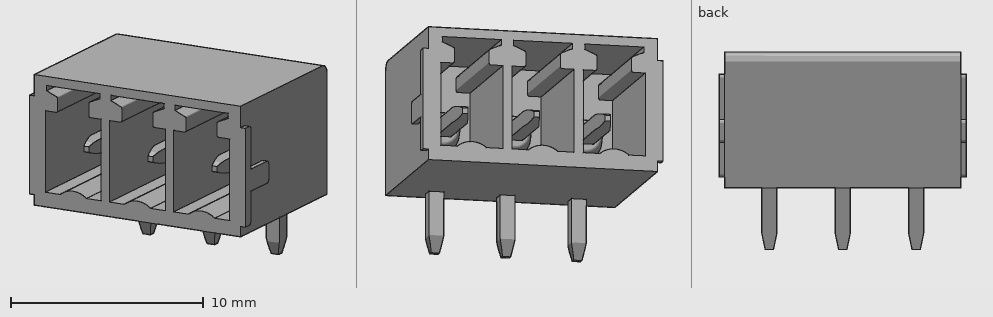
import cadquery as cq
import math

overall_width = 12.82
depth = 9.2
height = 7.05
tab_thickness = 0.28
body_width = overall_width - 2 * tab_thickness
back_edge_radius = 0.5

tab_bottom = 0.56
tab_top = 5.9
tab_bar_depth = 0.6
tab_stem_bottom = 2.36
tab_stem_top = 3.55
tab_stem_depth = 2.5
tab_corner_radius = 0.19

contact_count = 3
pitch = 3.81
contact_xs = [(i - (contact_count - 1) / 2) * pitch for i in range(contact_count)]

cavity_depth = 7.05
cavity_width = 3.32
cavity_floor = 0.8
shoulder_height = 5.19
neck_width = 1.85
neck_top = 6.0
keyway_width = 3.15
keyway_bottom = 6.28
cavity_top = 6.56
neck_corner_radius = 0.1
rib_width = 1.56
rib_height = 0.28

collar_base_radius = 1.09
collar_nose_radius = 0.87
collar_length = 1.0
collar_round = 0.2

pin_size = 0.8
pin_axis_height = 3.0
pin_front = 1.38
contact_tip_size = 0.3
contact_tip_length = 1.15
leg_center = 7.99
leg_length = 3.2
leg_tip_width = 0.44
leg_tip_thickness = 0.35
leg_taper_length = 0.86
leg_curve_length = 1.08


def make_block():
    block = cq.Workplane("XY").box(body_width, depth, height, centered=(True, False, False))
    return block.faces(">Y").edges(">Z").fillet(back_edge_radius)


def make_tab(start_x):
    """T-shaped plate, one tab thickness wide in X from start_x."""

    def plate(length, bottom, top):
        return (
            cq.Workplane("XY", origin=(start_x, 0, bottom))
            .box(tab_thickness, length, top - bottom, centered=False)
            .faces(">Y")
            .edges("|X")
            .fillet(tab_corner_radius)
        )

    bar = plate(tab_bar_depth, tab_bottom, tab_top)
    stem = plate(tab_stem_depth, tab_stem_bottom, tab_stem_top)
    return bar.union(stem)


def make_cavity(x):
    """Cutter for one cavity: a wide lower chamber, a neck, a keyway and a round floor rib."""
    half = cavity_width / 2
    half_neck = neck_width / 2
    half_keyway = keyway_width / 2
    half_rib = rib_width / 2
    cutter = (
        cq.Workplane("XZ")
        .moveTo(-half, cavity_floor)
        .lineTo(-half_rib, cavity_floor)
        .threePointArc((0, cavity_floor + rib_height), (half_rib, cavity_floor))
        .lineTo(half, cavity_floor)
        .lineTo(half, shoulder_height)
        .lineTo(half_neck, shoulder_height)
        .lineTo(half_neck, neck_top)
        .lineTo(half_keyway, keyway_bottom)
        .lineTo(half_keyway, cavity_top)
        .lineTo(-half_keyway, cavity_top)
        .lineTo(-half_keyway, keyway_bottom)
        .lineTo(-half_neck, neck_top)
        .lineTo(-half_neck, shoulder_height)
        .lineTo(-half, shoulder_height)
        .close()
        .extrude(-cavity_depth)
    )
    middle_height = (shoulder_height + neck_top) / 2
    for side in (-1, 1):
        neck_wall = cq.selectors.NearestToPointSelector((side * half_neck, cavity_depth / 2, middle_height))
        cutter = cutter.faces(neck_wall).edges("|Y").fillet(neck_corner_radius)
    return cutter.translate((x, 0, 0))


def make_collar(x):
    """Cone that narrows toward the front, with a rounded front rim."""
    cone = cq.Solid.makeCone(
        collar_base_radius,
        collar_nose_radius,
        collar_length,
        cq.Vector(x, cavity_depth, pin_axis_height),
        cq.Vector(0, -1, 0),
    )
    return cq.Workplane(obj=cone).faces("<Y").edges().fillet(collar_round)


def make_tapered_bar(length, taper_length, curve_length, tip_width, tip_thickness):
    """Square bar from Z = 0 down to -length: straight tapers in X, tangent arcs in Y."""
    half = pin_size / 2
    half_thickness = tip_thickness / 2
    taper_start = taper_length - length
    curve_start = curve_length - length

    inset = half - half_thickness
    curve_radius = (curve_length**2 + inset**2) / (2 * inset)
    mid_angle = math.asin(curve_length / curve_radius) / 2
    mid_y = half - curve_radius * (1 - math.cos(mid_angle))
    mid_z = curve_start - curve_radius * math.sin(mid_angle)

    curved_bar = (
        cq.Workplane("YZ")
        .moveTo(-half, 0)
        .lineTo(-half, curve_start)
        .threePointArc((-mid_y, mid_z), (-half_thickness, -length))
        .lineTo(half_thickness, -length)
        .threePointArc((mid_y, mid_z), (half, curve_start))
        .lineTo(half, 0)
        .close()
        .extrude(half, both=True)
    )
    straight_bar = (
        cq.Workplane("XZ")
        .moveTo(-half, 0)
        .lineTo(-half, taper_start)
        .lineTo(-tip_width / 2, -length)
        .lineTo(tip_width / 2, -length)
        .lineTo(half, taper_start)
        .lineTo(half, 0)
        .close()
        .extrude(half, both=True)
    )
    return curved_bar.intersect(straight_bar)


def make_pin(x):
    """L-shaped pin: a contact reaching forward into the cavity and a leg reaching down."""
    bar_back = leg_center + pin_size / 2
    contact = make_tapered_bar(
        bar_back - pin_front, contact_tip_length, contact_tip_length, contact_tip_size, contact_tip_size
    )
    contact = contact.rotate((0, 0, 0), (1, 0, 0), -90).translate((x, bar_back, pin_axis_height))
    leg = make_tapered_bar(
        pin_axis_height + leg_length, leg_taper_length, leg_curve_length, leg_tip_width, leg_tip_thickness
    )
    leg = leg.translate((x, leg_center, pin_axis_height))
    return contact.union(leg)


def make_housing(pins):
    """Housing with every pin cut out, so that each pin sits in a matching hole."""
    housing = make_block()
    for start_x in (-overall_width / 2, body_width / 2):
        housing = housing.union(make_tab(start_x))
    for x in contact_xs:
        housing = housing.cut(make_cavity(x)).union(make_collar(x))
    for pin in pins:
        housing = housing.cut(pin)
    return housing


pins = [make_pin(x) for x in contact_xs]
housing = make_housing(pins)

result = cq.Compound.makeCompound([housing.val(), *[pin.val() for pin in pins]])